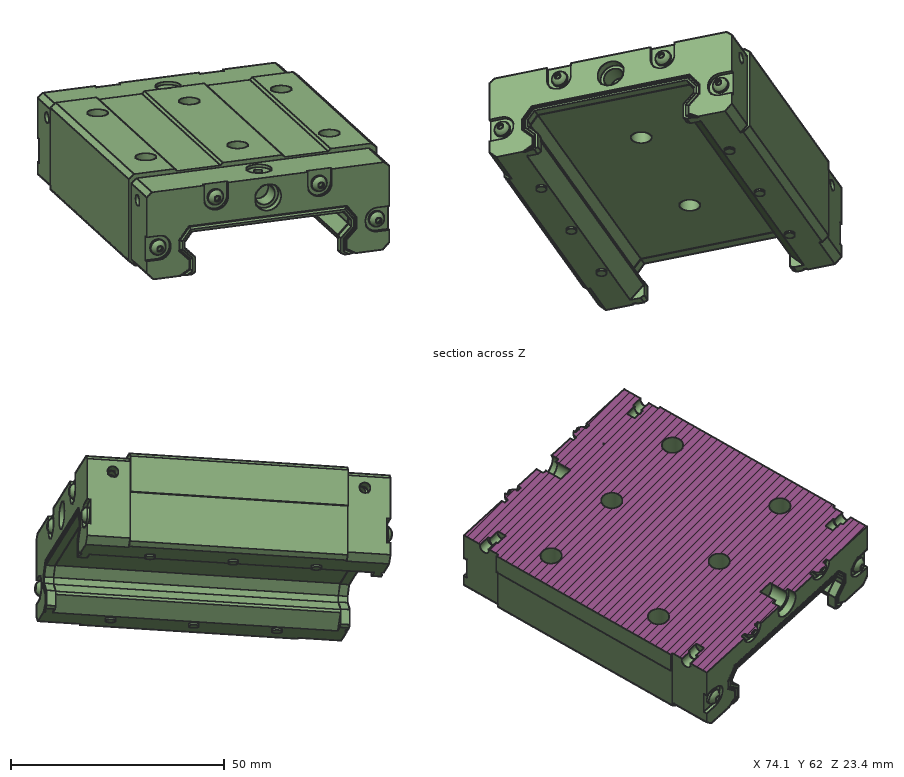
import cadquery as cq
import math

block_length = 52.0
block_width = 62.0
top_z = 23.4
base_z = 0.5

top_chamfer_width = 1.3
top_chamfer_height = 1.1
block_bottom_chamfer_width = 1.6
block_bottom_chamfer_height = 1.4
relief_depth = 0.5
relief_top_z = 13.55
channel_depth = 0.6
channel_inner_y = 7.5
channel_outer_y = 19.5
mount_diameter = 4.9
mount_x = 16.0
mount_y = 23.0
mount_depth = 10.0
drill_point_angle = 118
pin_diameter = 2.45
pin_spacing = 19.85
pin_y = 23.6
pin_root = 0.75

cap_outer_x = 36.2
cap_width = 60.75
cap_top_z = 22.3
cap_bottom_chamfer = 1.7

roof_half = 19.05
roof_z = 11.2
groove_half = 20.8
groove_top_z = 8.9
groove_bottom_z = 7.3
throat_half = 18.2
throat_top_z = 4.75
throat_bottom_z = 1.05
lip_mouth_angle = 30
body_mouth_angle = 45
below_z = -4.45
body_gap = 0.15
body_throat_bottom_z = 3.85
cap_gap = 1.4
lip_root = 1.1
lip_tip = 0.6
lip_length = 0.4
seal_depth = 2.2

screw_places = [(13.0, 18.9, "up"), (27.35, 8.2, "side")]
pocket_diameter = 6.0
pocket_depth = 0.9
head_diameter = 3.8
head_rim_height = 0.6
head_tip_diameter = 1.5
head_tip_x = 37.05
socket_diameter = 1.25
socket_depth = 0.6

port_z = 18.4
port_x = 30.1
passage_x = 29.6
side_port_diameter = 2.6
side_port_depth = 3.0
passage_diameter = 2.45
passage_depth = 5.9
top_recess_diameter = 6.0
top_recess_depth = 0.75
top_hole_diameter = 2.1
top_hole_depth = 1.5
end_port_z = 17.3
end_recess_diameter = 6.5
end_recess_depth = 2.0
end_hole_diameter = 4.9
end_hole_depth = 4.45

block_end_x = block_length / 2
cap_length = cap_outer_x - block_end_x


def mirrored_profile(half):
    """Close a half outline (y >= 0, from top to bottom) with its mirror image, in the YZ plane."""
    other_half = [(-y, z) for y, z in reversed(half)]
    return cq.Workplane("YZ").polyline(half + other_half).close()


def bar(width, top, bottom_chamfer_width, bottom_chamfer_height):
    """Cross-section of a bar with all four long edges chamfered."""
    half_width = width / 2
    return mirrored_profile([
        (half_width - top_chamfer_width, top),
        (half_width, top - top_chamfer_height),
        (half_width, base_z + bottom_chamfer_height),
        (half_width - bottom_chamfer_width, base_z),
    ])


def cap_bar(length):
    return bar(cap_width, cap_top_z, cap_bottom_chamfer, cap_bottom_chamfer).extrude(length)


def opening(offset, throat_end_z, mouth_angle):
    """Outline of the rail opening, grown by an offset from the seal lip."""
    mouth_flare = (throat_end_z - below_z) / math.tan(math.radians(mouth_angle))
    outline = mirrored_profile([
        (roof_half, roof_z),
        (groove_half, groove_top_z),
        (groove_half, groove_bottom_z),
        (throat_half, throat_top_z),
        (throat_half, throat_end_z),
        (throat_half + mouth_flare, below_z),
    ])
    return outline.offset2D(offset, "intersection") if offset else outline


def lip_opening(offset):
    return opening(offset, throat_bottom_z, lip_mouth_angle)


def body_opening():
    return opening(body_gap, body_throat_bottom_z, body_mouth_angle)


def x_cylinder(diameter, x_start, x_end, y, z):
    return (cq.Workplane("YZ", origin=(x_start, 0, 0)).center(y, z)
            .circle(diameter / 2).extrude(x_end - x_start))


def z_cylinder(diameter, z_start, z_end, x, y):
    return (cq.Workplane("XY", origin=(x, y, z_start))
            .circle(diameter / 2).extrude(z_end - z_start))


def make_block():
    block = bar(block_width, top_z, block_bottom_chamfer_width, block_bottom_chamfer_height)
    block = block.extrude(block_end_x, both=True)
    block = block.cut(body_opening().extrude(block_end_x, both=True))

    relief = cq.Workplane("XY").box(block_length, relief_depth, relief_top_z, centered=(True, False, False))
    block = block.cut(relief.translate((0, block_width / 2 - relief_depth, 0)))

    for side in (-1, 1):
        channel = (cq.Workplane("YZ").polyline([
            (side * channel_inner_y, top_z),
            (side * (channel_inner_y + channel_depth), top_z - channel_depth),
            (side * (channel_outer_y - channel_depth), top_z - channel_depth),
            (side * channel_outer_y, top_z),
        ]).close().extrude(block_end_x, both=True))
        block = block.cut(channel)

    radius = mount_diameter / 2
    point_length = radius / math.tan(math.radians(drill_point_angle / 2))
    for x in (-mount_x, mount_x):
        block = block.cut(z_cylinder(mount_diameter, base_z, top_z, x, 0))
        for y in (-mount_y, mount_y):
            drill = (cq.Workplane("XZ", origin=(x, y, top_z))
                     .polyline([(0, 0), (radius, 0), (radius, -mount_depth),
                                (0, -mount_depth - point_length)])
                     .close().revolve(360, (0, 0), (0, 1)))
            block = block.cut(drill)

    for x in (-pin_spacing, 0, pin_spacing):
        for y in (-pin_y, pin_y):
            block = block.union(z_cylinder(pin_diameter, 0, base_z + pin_root, x, y))
    return block


def make_seal():
    """Plate filling the cap opening, with a tapered lip that ends flush with the cap face."""
    lip_x = cap_outer_x - lip_length
    plate_x = cap_outer_x - seal_depth
    plate = lip_opening(cap_gap).extrude(lip_x - plate_x).translate((plate_x, 0, 0))
    root = lip_opening(lip_root).val().moved(cq.Location(cq.Vector(lip_x, 0, 0)))
    tip = lip_opening(lip_tip).val().moved(cq.Location(cq.Vector(cap_outer_x, 0, 0)))
    lip = cq.Workplane(cq.Solid.makeLoft([root, tip], True))
    seal = plate.union(lip).cut(lip_opening(0).extrude(cap_outer_x))
    return seal.intersect(cap_bar(cap_outer_x))


def make_pocket(y, z, open_side):
    """Round-ended screw pocket, open to the top or to the nearer side of the cap."""
    floor_x = cap_outer_x - pocket_depth
    pocket = x_cylinder(pocket_diameter, floor_x, cap_outer_x, y, z)
    if open_side == "up":
        run = cap_top_z - z
        slot = cq.Workplane("XY").box(pocket_depth, pocket_diameter, run, centered=(False, True, False))
    else:
        run = cap_width / 2 - abs(y)
        slot = cq.Workplane("XY").box(pocket_depth, run, pocket_diameter, centered=(False, False, True))
        if y < 0:
            slot = slot.translate((0, -run, 0))
    return pocket.union(slot.translate((floor_x, y, z)))


def make_screw(y, z):
    """Button head, domed between its rim and a small flat tip, with a socket."""
    rim_radius = head_diameter / 2
    tip_radius = head_tip_diameter / 2
    floor_x = cap_outer_x - pocket_depth
    rim_x = floor_x + head_rim_height
    dome_height = head_tip_x - rim_x
    centre_drop = (rim_radius**2 - tip_radius**2 - dome_height**2) / (2 * dome_height)
    dome_radius = math.hypot(rim_radius, centre_drop)
    middle_radius = (rim_radius + tip_radius) / 2
    middle_x = rim_x - centre_drop + math.sqrt(dome_radius**2 - middle_radius**2)
    head = (cq.Workplane("XY").moveTo(floor_x, 0).lineTo(floor_x, rim_radius)
            .lineTo(rim_x, rim_radius)
            .threePointArc((middle_x, middle_radius), (head_tip_x, tip_radius))
            .lineTo(head_tip_x, 0).close()
            .revolve(360, (0, 0), (1, 0)))
    head = head.cut(x_cylinder(socket_diameter, head_tip_x - socket_depth, head_tip_x, 0, 0))
    return head.translate((0, y, z))


def make_cap():
    """End cap on the +X side."""
    cap = cap_bar(cap_length).translate((block_end_x, 0, 0))
    seal_x = cap_outer_x - seal_depth
    cap = cap.cut(body_opening().extrude(seal_x))
    cap = cap.cut(lip_opening(cap_gap).extrude(seal_depth).translate((seal_x, 0, 0)))
    cap = cap.union(make_seal())

    recess_z = cap_top_z - top_recess_depth
    cap = cap.cut(z_cylinder(top_recess_diameter, recess_z, cap_top_z, port_x, 0))
    cap = cap.cut(z_cylinder(top_hole_diameter, recess_z - top_hole_depth, recess_z, passage_x, 0))

    recess_x = cap_outer_x - end_recess_depth
    hole_x = recess_x - end_hole_depth
    cap = cap.cut(x_cylinder(end_recess_diameter, recess_x, cap_outer_x, 0, end_port_z))
    cap = cap.cut(x_cylinder(end_hole_diameter, hole_x, recess_x, 0, end_port_z))

    for side in (-1, 1):
        face = cq.Workplane("XZ", origin=(0, side * cap_width / 2, port_z))
        port = face.center(port_x, 0).circle(side_port_diameter / 2).extrude(side * side_port_depth)
        passage = (face.workplane(offset=side * side_port_depth).center(passage_x, 0)
                   .circle(passage_diameter / 2).extrude(side * (passage_depth - side_port_depth)))
        cap = cap.cut(port).cut(passage)

        for y, z, open_side in screw_places:
            cap = cap.cut(make_pocket(side * y, z, open_side))
            cap = cap.union(make_screw(side * y, z))
    return cap


cap = make_cap()
result = make_block().union(cap).union(cap.mirror("YZ"))